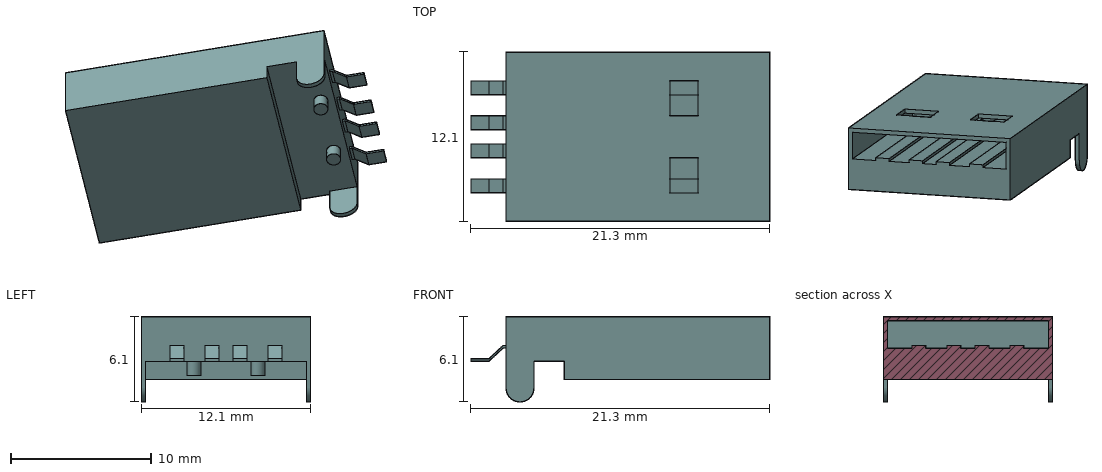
import cadquery as cq

total_length = 21.3

shell_length = 18.8
shell_width = 12.05
shell_height = 4.5
wall = 0.3
inner_width = shell_width - 2 * wall

step_x = 4.15
step_z = 1.3

leg_width = 2.0
leg_bottom_z = -1.6
leg_radius = leg_width / 2

window_x = 11.67
window_length = 2.02
window_inner_y = 1.5
window_outer_y = 4.0

contact_width = 1.0
contact_thickness = 0.2
contact_top_z = 2.45
contact_bottom_z = contact_top_z - contact_thickness
contact_inner_y = 1.0
contact_outer_y = 3.5
tail_reach = total_length - shell_length
tail_shoulder = 0.2
tail_foot = 1.28

peg_diameter = 1.0
peg_x = 1.0
peg_y = 2.28
peg_bottom_z = wall


def box(x_range, y_range, z_range):
    """Axis-aligned box between pairs of limits."""
    size = [high - low for low, high in (x_range, y_range, z_range)]
    corner = (x_range[0], y_range[0], z_range[0])
    return cq.Workplane("XY").box(*size, centered=False).translate(corner)


def make_housing():
    """Shell with the insulator block and tongue inside, open at the mating end."""
    inner_y = (-inner_width / 2, inner_width / 2)
    outer = box((0, shell_length), (-shell_width / 2, shell_width / 2), (0, shell_height))
    rear_notch = box((0, step_x), (-shell_width / 2, shell_width / 2), (0, step_z))
    cavity = box((step_x, shell_length), inner_y, (contact_bottom_z, shell_height - wall))
    return outer.cut(rear_notch).cut(cavity)


def make_leg(outer_y):
    """Round-ended leg whose +Y face lies at outer_y."""
    return (
        cq.Workplane("XZ", origin=(0, outer_y, 0))
        .moveTo(0, shell_height)
        .lineTo(0, leg_bottom_z + leg_radius)
        .threePointArc((leg_radius, leg_bottom_z), (leg_width, leg_bottom_z + leg_radius))
        .lineTo(leg_width, shell_height)
        .close()
        .extrude(wall)
    )


def make_contact(center_y):
    """Flat contact strip along the tongue, bent down into a solder tail."""
    foot_end_x = tail_foot - tail_reach
    foot_top_z = step_z + contact_thickness
    return (
        cq.Workplane("XZ", origin=(0, center_y, 0))
        .moveTo(-tail_reach, step_z)
        .lineTo(foot_end_x, step_z)
        .lineTo(-tail_shoulder, contact_bottom_z)
        .lineTo(shell_length, contact_bottom_z)
        .lineTo(shell_length, contact_top_z)
        .lineTo(-tail_shoulder, contact_top_z)
        .lineTo(foot_end_x, foot_top_z)
        .lineTo(-tail_reach, foot_top_z)
        .close()
        .extrude(contact_width / 2, both=True)
    )


def make_peg(center_y):
    """Round peg hanging from the raised underside."""
    return (
        cq.Workplane("XY", origin=(peg_x, center_y, peg_bottom_z))
        .circle(peg_diameter / 2)
        .extrude(step_z - peg_bottom_z)
    )


def make_window(side):
    """Cutter through the shell roof on the given side of the centre plane."""
    y_range = sorted((side * window_inner_y, side * window_outer_y))
    window_x_range = (window_x, window_x + window_length)
    return box(window_x_range, y_range, (shell_height - wall, shell_height))


result = make_housing()

for leg_face_y in (shell_width / 2, wall - shell_width / 2):
    result = result.union(make_leg(leg_face_y))

for side in (-1, 1):
    result = result.cut(make_window(side))
    result = result.union(make_peg(side * peg_y))
    for contact_y in (contact_inner_y, contact_outer_y):
        result = result.union(make_contact(side * contact_y))